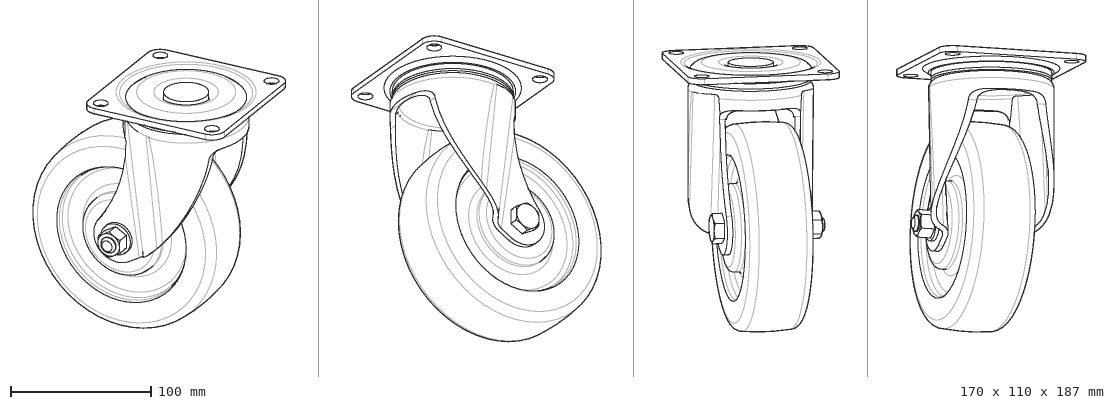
import cadquery as cq
import math


SHEET = 4.0
AXLE_X = -40.0
AXLE_Z = -112.0
BOLT_RADIUS = 6.0

PLATE_SIDE = 110.0
PLATE_THICKNESS = 4.3
PLATE_CORNER_RADIUS = 10.0
PLATE_HOLE_DIAMETER = 10.5
PLATE_HOLE_SPACING = 90.0
DISH_DEPTH = 7.1
DISH_TOP_RADIUS = 49.0
DISH_BOTTOM_RADIUS = 44.9
RACE_RADIUS = 43.2
RACE_BOTTOM = -11.2

GROOVE_LIP_RADIUS = 50.0
GROOVE_CONE_RADIUS = 47.5
GROOVE_CONE_LEVEL = -0.7
GROOVE_DEPTH = 4.0
GROOVE_BOTTOM_RADIUS = 43.2
DOME_FLAT_RADIUS = 35.3
CENTRE_LIP_RADIUS = 23.0
BUTTON_RADIUS = 16.0

CROWN_RADIUS = 44.9
CROWN_TOP = -12.9
CROWN_BOTTOM = -27.0
CROWN_ROUND = 6.2
LEG_OUTER_Y = 29.2
FLARE_TOP_HOLLOW = 11.2
FLARE_TOP_FULL = 43.0
FLARE_TOP_ANGLE = 12.3
FLARE_LOW_HOLLOW = 6.0
FLARE_LOW_FULL = 18.7
FLARE_LOW_ANGLE = -3.8
LEG_FRONT_X = -33.0
LEG_BACK_X = 34.0
LEG_SHOULDER_ROUND = 7.5
LEG_BOSS_RADIUS = 19.0
LEG_BOTTOM = AXLE_Z - LEG_BOSS_RADIUS
LEG_BACK_MID = (0.4, -104.9)
LEG_BACK_END_ANGLE = -63.0

WHEEL_RADIUS = 75.0
CROWNING = 1.0
TREAD_HALF_WIDTH = 17.4
TYRE_HALF_WIDTH = 23.0
TYRE_FACE_RADIUS = 68.0
RIM_EDGE_RADIUS = 52.4
RIM_EDGE_CHAMFER = 1.0
RIM_EDGE_CHAMFER_DEPTH = 2.0
RIM_WALL_RADIUS = 50.9
RIM_ROOT_ROUND = 3.0
RIM_FLOOR_Y = 14.4
HUB_FACE_Y = LEG_OUTER_Y - SHEET
HUB_RADIUS = 31.6
HUB_ROOT_ROUND = 4.3
HUB_EDGE_ROUND = 3.7

HEAD_ACROSS_FLATS = 19.0
HEAD_HEIGHT = 7.7
NUT_ACROSS_FLATS = 17.4
NUT_HEIGHT = 10.5
FLANGE_RADIUS = 12.0
FLANGE_THICKNESS = 2.6
BOLT_TIP = 2.6
BOLT_TIP_CHAMFER = 1.9
HEX_SIDES = 6
HEX_BEVEL_SLOPE = math.tan(math.radians(30))
FLANGE_END_Y = -LEG_OUTER_Y - FLANGE_THICKNESS
NUT_END_Y = FLANGE_END_Y - NUT_HEIGHT

REACH = 187.0
CLEAR_X = 74.8


def y_cylinder(radius, y_start, y_end):
    """Cylinder on the wheel axle between two Y positions."""
    plane = cq.Plane(origin=(AXLE_X, y_start, AXLE_Z), xDir=(1, 0, 0), normal=(0, 1, 0))
    return cq.Workplane(plane).circle(radius).extrude(y_end - y_start)


def arc_middle(start, end, centre):
    """Point halfway along the short arc from start to end round the centre."""
    radius = math.dist(start, centre)
    x = (start[0] + end[0]) / 2 - centre[0]
    y = (start[1] + end[1]) / 2 - centre[1]
    stretch = radius / math.hypot(x, y)
    return (centre[0] + x * stretch, centre[1] + y * stretch)


def make_plate():
    """Square plate with a pressed dish, the bearing race below it and grooves in its top."""
    plate = (
        cq.Workplane("XY")
        .rect(PLATE_SIDE, PLATE_SIDE)
        .extrude(-PLATE_THICKNESS)
        .edges("|Z")
        .fillet(PLATE_CORNER_RADIUS)
    )
    dish_and_race = (
        cq.Workplane("XZ")
        .moveTo(0, -PLATE_THICKNESS)
        .lineTo(DISH_TOP_RADIUS, -PLATE_THICKNESS)
        .lineTo(DISH_BOTTOM_RADIUS, -DISH_DEPTH)
        .lineTo(RACE_RADIUS, -DISH_DEPTH)
        .lineTo(RACE_RADIUS, RACE_BOTTOM)
        .lineTo(0, RACE_BOTTOM)
        .close()
        .revolve(360, (0, 0, 0), (0, 1, 0))
    )
    dome_rise = GROOVE_BOTTOM_RADIUS - DOME_FLAT_RADIUS
    dome_round = (dome_rise**2 + GROOVE_DEPTH**2) / (2 * GROOVE_DEPTH)
    dome_start = (DOME_FLAT_RADIUS, 0)
    groove_bottom = (GROOVE_BOTTOM_RADIUS, -GROOVE_DEPTH)
    dome_middle = arc_middle(dome_start, groove_bottom, (DOME_FLAT_RADIUS, -dome_round))
    lip_width = GROOVE_LIP_RADIUS - GROOVE_CONE_RADIUS
    lip_round = (lip_width**2 + GROOVE_CONE_LEVEL**2) / (-2 * GROOVE_CONE_LEVEL)
    lip_start = (GROOVE_LIP_RADIUS, 0)
    lip_end = (GROOVE_CONE_RADIUS, GROOVE_CONE_LEVEL)
    lip_middle = arc_middle(lip_start, lip_end, (GROOVE_LIP_RADIUS, -lip_round))
    ring_groove = (
        cq.Workplane("XZ")
        .moveTo(*dome_start)
        .threePointArc(dome_middle, groove_bottom)
        .lineTo(*lip_end)
        .threePointArc(lip_middle, lip_start)
        .close()
        .revolve(360, (0, 0, 0), (0, 1, 0))
    )
    centre_round = CENTRE_LIP_RADIUS - BUTTON_RADIUS
    centre_start = (CENTRE_LIP_RADIUS, 0)
    centre_bottom = (BUTTON_RADIUS, -centre_round)
    centre_middle = arc_middle(centre_start, centre_bottom, (CENTRE_LIP_RADIUS, -centre_round))
    centre_groove = (
        cq.Workplane("XZ")
        .moveTo(*centre_start)
        .threePointArc(centre_middle, centre_bottom)
        .lineTo(BUTTON_RADIUS, 0)
        .close()
        .revolve(360, (0, 0, 0), (0, 1, 0))
    )
    holes = (
        cq.Workplane("XY")
        .rect(PLATE_HOLE_SPACING, PLATE_HOLE_SPACING, forConstruction=True)
        .vertices()
        .circle(PLATE_HOLE_DIAMETER / 2)
        .extrude(-PLATE_THICKNESS)
    )
    return plate.union(dish_and_race).cut(ring_groove).cut(centre_groove).cut(holes)


def flare_section(level, hollow_round, full_round, end_angle, inset):
    """Level outline between the two leg faces: flat, hollow bend, full bend, then clear of the crown."""
    flat_y = LEG_OUTER_Y - inset
    tilt = math.radians(end_angle)
    full_reach = CROWN_RADIUS - full_round
    full_centre = (-full_reach * math.sin(tilt), full_reach * math.cos(tilt))
    bend_sum = hollow_round + full_round
    hollow_y = LEG_OUTER_Y + hollow_round
    hollow_x = full_centre[0] - math.sqrt(bend_sum**2 - (hollow_y - full_centre[1]) ** 2)
    hollow_centre = (hollow_x, hollow_y)
    share = (hollow_round + inset) / bend_sum
    flat_end = (hollow_x, flat_y)
    bend_change = (
        hollow_x + (full_centre[0] - hollow_x) * share,
        hollow_y + (full_centre[1] - hollow_y) * share,
    )
    outer_radius = CROWN_RADIUS - inset
    full_end = (-outer_radius * math.sin(tilt), outer_radius * math.cos(tilt))
    clear_y = full_end[1] + (CLEAR_X - full_end[0]) * math.tan(tilt)
    outline = (
        cq.Workplane("XY", origin=(0, 0, level))
        .moveTo(-REACH, 0)
        .lineTo(-REACH, flat_y)
        .lineTo(*flat_end)
        .threePointArc(arc_middle(flat_end, bend_change, hollow_centre), bend_change)
        .threePointArc(arc_middle(bend_change, full_end, full_centre), full_end)
        .lineTo(CLEAR_X, clear_y)
        .lineTo(CLEAR_X, 0)
        .close()
    )
    return outline.val()


def flared_prism(inset):
    """Solid between the two flared leg faces, which are moved inwards by the inset."""
    top = flare_section(CROWN_TOP, FLARE_TOP_HOLLOW, FLARE_TOP_FULL, FLARE_TOP_ANGLE, inset)
    bottom = flare_section(LEG_BOTTOM, FLARE_LOW_HOLLOW, FLARE_LOW_FULL, FLARE_LOW_ANGLE, inset)
    prism = cq.Workplane(cq.Solid.makeLoft([top, bottom], True))
    return prism.union(prism.mirror("XZ"))


def fork_block(inset):
    """Cylinder with a rounded top and forward legs, narrowed by the flared faces; moved in by the inset."""
    top = CROWN_TOP - inset
    radius = CROWN_RADIUS - inset
    cylinder = (
        cq.Workplane("XY", origin=(0, 0, top))
        .circle(radius)
        .extrude(LEG_BOTTOM - top)
        .faces(">Z")
        .edges()
        .fillet(CROWN_ROUND - inset)
    )
    shoulder_z = CROWN_BOTTOM - LEG_SHOULDER_ROUND
    forward_legs = (
        cq.Workplane("XY", origin=(-CROWN_RADIUS / 2 - REACH / 2, 0, LEG_BOTTOM))
        .rect(REACH, 2 * radius)
        .extrude(shoulder_z - LEG_BOTTOM)
    )
    return cylinder.union(forward_legs).intersect(flared_prism(inset))


def leg_outline():
    """Crown band and tapering leg, seen along Y and extruded through the fork."""
    shoulder_z = CROWN_BOTTOM - LEG_SHOULDER_ROUND
    front_start = (LEG_FRONT_X, shoulder_z)
    front_crown = (LEG_FRONT_X - LEG_SHOULDER_ROUND, CROWN_BOTTOM)
    front_shoulder = arc_middle(front_crown, front_start, (front_crown[0], shoulder_z))
    back_start = (LEG_BACK_X, shoulder_z)
    back_crown = (LEG_BACK_X + LEG_SHOULDER_ROUND, CROWN_BOTTOM)
    back_shoulder = arc_middle(back_crown, back_start, (back_crown[0], shoulder_z))

    offset = AXLE_X - LEG_FRONT_X
    drop = shoulder_z - AXLE_Z
    front_radius = (offset**2 + drop**2 - LEG_BOSS_RADIUS**2) / (2 * (LEG_BOSS_RADIUS - offset))
    front_centre = (LEG_FRONT_X - front_radius, shoulder_z)
    share = front_radius / (front_radius + LEG_BOSS_RADIUS)
    front_end = (
        front_centre[0] + (AXLE_X - front_centre[0]) * share,
        front_centre[1] + (AXLE_Z - front_centre[1]) * share,
    )

    end_angle = math.radians(LEG_BACK_END_ANGLE)
    back_end = (
        AXLE_X + LEG_BOSS_RADIUS * math.cos(end_angle),
        AXLE_Z + LEG_BOSS_RADIUS * math.sin(end_angle),
    )
    boss_mid = arc_middle(back_end, front_end, (AXLE_X, AXLE_Z))
    return (
        cq.Workplane("XZ")
        .moveTo(-CROWN_RADIUS, 0)
        .lineTo(-CROWN_RADIUS, CROWN_BOTTOM)
        .lineTo(*front_crown)
        .threePointArc(front_shoulder, front_start)
        .threePointArc(arc_middle(front_start, front_end, front_centre), front_end)
        .threePointArc(boss_mid, back_end)
        .threePointArc(LEG_BACK_MID, back_start)
        .threePointArc(back_shoulder, back_crown)
        .lineTo(CROWN_RADIUS, CROWN_BOTTOM)
        .lineTo(CROWN_RADIUS, 0)
        .close()
        .extrude(REACH, both=True)
    )


def make_fork():
    """Pressed fork: round crown, two flared legs, and the collar below the bearing race."""
    shell = fork_block(0).cut(fork_block(SHEET))
    collar = (
        cq.Workplane("XY", origin=(0, 0, RACE_BOTTOM))
        .circle(RACE_RADIUS)
        .extrude(CROWN_TOP - RACE_BOTTOM)
    )
    bolt_hole = y_cylinder(BOLT_RADIUS, -LEG_OUTER_Y, LEG_OUTER_Y)
    return shell.intersect(leg_outline()).union(collar).cut(bolt_hole)


def turned(profile):
    """Body turned round the wheel axle from a closed profile of radius against Y."""
    return profile.revolve(360, (0, 0, 0), (0, 1, 0)).translate((AXLE_X, 0, AXLE_Z))


def side_recess():
    """Ring between hub and tyre that is hollowed out of the wheel's +Y side."""
    hub_edge_start = (HUB_RADIUS - HUB_EDGE_ROUND, HUB_FACE_Y)
    hub_edge_end = (HUB_RADIUS, HUB_FACE_Y - HUB_EDGE_ROUND)
    hub_edge_centre = (hub_edge_start[0], hub_edge_end[1])
    root_start = (HUB_RADIUS, RIM_FLOOR_Y + HUB_ROOT_ROUND)
    root_end = (HUB_RADIUS + HUB_ROOT_ROUND, RIM_FLOOR_Y)
    root_centre = (root_end[0], root_start[1])
    rim_start = (RIM_WALL_RADIUS - RIM_ROOT_ROUND, RIM_FLOOR_Y)
    rim_end = (RIM_WALL_RADIUS, RIM_FLOOR_Y + RIM_ROOT_ROUND)
    rim_centre = (rim_start[0], rim_end[1])
    return turned(
        cq.Workplane("XY")
        .moveTo(*hub_edge_start)
        .threePointArc(arc_middle(hub_edge_start, hub_edge_end, hub_edge_centre), hub_edge_end)
        .lineTo(*root_start)
        .threePointArc(arc_middle(root_start, root_end, root_centre), root_end)
        .lineTo(*rim_start)
        .threePointArc(arc_middle(rim_start, rim_end, rim_centre), rim_end)
        .lineTo(RIM_EDGE_RADIUS - RIM_EDGE_CHAMFER, TYRE_HALF_WIDTH - RIM_EDGE_CHAMFER_DEPTH)
        .lineTo(RIM_EDGE_RADIUS, TYRE_HALF_WIDTH)
        .lineTo(RIM_EDGE_RADIUS, HUB_FACE_Y)
        .close()
    )


def make_wheel():
    """Crowned wheel with recessed sides and a raised hub that fills the gap between the legs."""
    edge_radius = WHEEL_RADIUS - CROWNING
    shoulder_start = (edge_radius, TREAD_HALF_WIDTH)
    shoulder_end = (TYRE_FACE_RADIUS, TYRE_HALF_WIDTH)
    shoulder_bulge = math.sqrt(0.5)
    shoulder_x = TYRE_FACE_RADIUS + (edge_radius - TYRE_FACE_RADIUS) * shoulder_bulge
    shoulder_y = TREAD_HALF_WIDTH + (TYRE_HALF_WIDTH - TREAD_HALF_WIDTH) * shoulder_bulge
    tyre = turned(
        cq.Workplane("XY")
        .moveTo(0, TYRE_HALF_WIDTH)
        .lineTo(*shoulder_end)
        .threePointArc((shoulder_x, shoulder_y), shoulder_start)
        .threePointArc((WHEEL_RADIUS, 0), (edge_radius, -TREAD_HALF_WIDTH))
        .threePointArc((shoulder_x, -shoulder_y), (TYRE_FACE_RADIUS, -TYRE_HALF_WIDTH))
        .lineTo(0, -TYRE_HALF_WIDTH)
        .close()
    )
    hub = y_cylinder(RIM_EDGE_RADIUS, -HUB_FACE_Y, HUB_FACE_Y)
    recess = side_recess()
    bore = y_cylinder(BOLT_RADIUS, -HUB_FACE_Y, HUB_FACE_Y)
    return tyre.union(hub).cut(recess).cut(recess.mirror("XZ")).cut(bore)


def hexagon(across_flats, seat_y, end_y):
    """Hexagon with corners at top and bottom, its corners bevelled on the end face."""
    height = abs(end_y - seat_y)
    direction = 1 if end_y > seat_y else -1
    corner_radius = across_flats / math.sqrt(3)
    face_radius = across_flats / 2
    bevel = (corner_radius - face_radius) * HEX_BEVEL_SLOPE
    corners = [
        (
            AXLE_X + corner_radius * math.sin(math.radians(360 / HEX_SIDES * i)),
            AXLE_Z + corner_radius * math.cos(math.radians(360 / HEX_SIDES * i)),
        )
        for i in range(HEX_SIDES)
    ]
    prism = cq.Workplane("XZ", origin=(0, seat_y, 0)).polyline(corners).close().extrude(-direction * height)
    envelope = turned(
        cq.Workplane("XY")
        .moveTo(0, seat_y)
        .lineTo(corner_radius, seat_y)
        .lineTo(corner_radius, end_y - direction * bevel)
        .lineTo(face_radius, end_y)
        .lineTo(0, end_y)
        .close()
    )
    return prism.intersect(envelope)


def make_bolt():
    """Axle bolt with its head on the +Y leg and a bevelled tip beyond the nut."""
    shank = (
        y_cylinder(BOLT_RADIUS, NUT_END_Y - BOLT_TIP, LEG_OUTER_Y)
        .faces("<Y")
        .chamfer(BOLT_TIP_CHAMFER)
    )
    head = hexagon(HEAD_ACROSS_FLATS, LEG_OUTER_Y, LEG_OUTER_Y + HEAD_HEIGHT)
    return shank.union(head)


def make_nut():
    """Flanged nut on the -Y leg."""
    flange = y_cylinder(FLANGE_RADIUS, FLANGE_END_Y, -LEG_OUTER_Y)
    hex_part = hexagon(NUT_ACROSS_FLATS, FLANGE_END_Y, NUT_END_Y)
    thread_hole = y_cylinder(BOLT_RADIUS, NUT_END_Y, -LEG_OUTER_Y)
    return flange.union(hex_part).cut(thread_hole)


plate = make_plate()
fork = make_fork()
wheel = make_wheel()
bolt = make_bolt()
nut = make_nut()

result = cq.Compound.makeCompound([plate.val(), fork.val(), wheel.val(), bolt.val(), nut.val()])